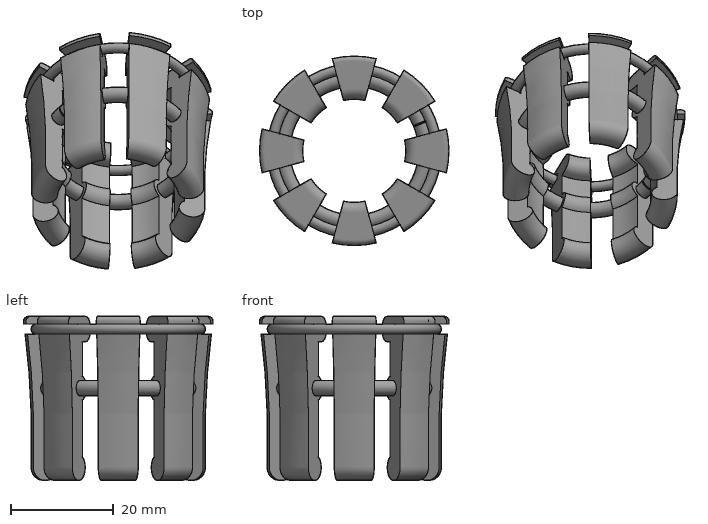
import cadquery as cq
import math

JAW_COUNT = 8
TOP_Z = 32.0

JAW_WEDGE_HALF_ANGLE = math.radians(15)
JAW_APEX_OFFSET = 1.95

WALL_INNER_RADIUS = 13.0
WALL_OUTER_RADIUS = 17.0
FLARE_START_Z = 13.05
FLARE_CONE_Z = 21.0
FLARE_ANGLE = math.radians(5.8)

FOOT_ROUND = 2.5

FLANGE_RADIUS = 18.48
FLANGE_THICKNESS = 1.5
FLANGE_ROUND = 1.0
LIP_RADIUS = 10.0
LIP_HEIGHT = 5.0
LIP_ROUND = 2.0

RETAINER_WIRE_RADIUS = 1.0
RETAINER_CENTER_RADIUS = 16.0

HOOP_CENTER_RADIUS = 14.0
HOOP_WIRE_RADIUS = 1.5
HOOP_Z = 18.0
RIB_RADIUS = 2.5
HOOP_SLIT_WIDTH = 0.22
HOOP_SLIT_ANGLE = 180 / JAW_COUNT

GROOVE_TOP_Z = TOP_Z - FLANGE_THICKNESS
RETAINER_Z = GROOVE_TOP_Z - RETAINER_WIRE_RADIUS
GROOVE_BOTTOM_Z = RETAINER_Z - RETAINER_WIRE_RADIUS
GROOVE_FLOOR_RADIUS = RETAINER_CENTER_RADIUS - RETAINER_WIRE_RADIUS
LIP_BOTTOM_Z = TOP_Z - LIP_HEIGHT

FOOT_CENTER_RADIUS = WALL_OUTER_RADIUS - FOOT_ROUND
FOOT_INNER_RADIUS = FOOT_CENTER_RADIUS - FOOT_ROUND
FOOT_BULGE_TOP_Z = FOOT_ROUND + math.sqrt(FOOT_ROUND**2 - (FOOT_CENTER_RADIUS - WALL_INNER_RADIUS) ** 2)

FLARE_BEND_RADIUS = (FLARE_CONE_Z - FLARE_START_Z) / math.sin(FLARE_ANGLE)
FLARE_CONE_RADIUS = WALL_OUTER_RADIUS + FLARE_BEND_RADIUS * (1 - math.cos(FLARE_ANGLE))
FLARE_TOP_RADIUS = FLARE_CONE_RADIUS + (GROOVE_BOTTOM_Z - FLARE_CONE_Z) * math.tan(FLARE_ANGLE)


def torus(center_radius, wire_radius, z):
    """Round-wire ring about the Z axis."""
    return (
        cq.Workplane("XZ")
        .center(center_radius, z)
        .circle(wire_radius)
        .revolve(360, (-center_radius, 0), (-center_radius, 1))
    )


def jaw_sleeve():
    """Revolved sleeve with the radial section of a jaw, not yet split into jaws."""
    section = (
        cq.Workplane("XZ")
        .moveTo(FOOT_CENTER_RADIUS, 0)
        .radiusArc((WALL_OUTER_RADIUS, FOOT_ROUND), -FOOT_ROUND)
        .lineTo(WALL_OUTER_RADIUS, FLARE_START_Z)
        .radiusArc((FLARE_CONE_RADIUS, FLARE_CONE_Z), FLARE_BEND_RADIUS)
        .lineTo(FLARE_TOP_RADIUS, GROOVE_BOTTOM_Z)
        .lineTo(GROOVE_FLOOR_RADIUS, GROOVE_BOTTOM_Z)
        .lineTo(GROOVE_FLOOR_RADIUS, GROOVE_TOP_Z)
        .lineTo(FLANGE_RADIUS, GROOVE_TOP_Z)
        .lineTo(FLANGE_RADIUS, TOP_Z - FLANGE_ROUND)
        .radiusArc((FLANGE_RADIUS - FLANGE_ROUND, TOP_Z), -FLANGE_ROUND)
        .lineTo(LIP_RADIUS + LIP_ROUND, TOP_Z)
        .radiusArc((LIP_RADIUS, TOP_Z - LIP_ROUND), -LIP_ROUND)
        .lineTo(LIP_RADIUS, LIP_BOTTOM_Z + LIP_ROUND)
        .radiusArc((LIP_RADIUS + LIP_ROUND, LIP_BOTTOM_Z), -LIP_ROUND)
        .lineTo(WALL_INNER_RADIUS, LIP_BOTTOM_Z)
        .lineTo(WALL_INNER_RADIUS, FOOT_BULGE_TOP_Z)
        .threePointArc((FOOT_INNER_RADIUS, FOOT_ROUND), (FOOT_CENTER_RADIUS, 0))
        .close()
    )
    return section.revolve(360, (0, 0), (0, 1))


def jaw_wedge(angle):
    """Wedge-shaped envelope of one jaw."""
    reach = 2 * FLANGE_RADIUS
    half_width = (reach - JAW_APEX_OFFSET) * math.tan(JAW_WEDGE_HALF_ANGLE)
    return (
        cq.Workplane("XY")
        .polyline([(JAW_APEX_OFFSET, 0), (reach, -half_width), (reach, half_width)])
        .close()
        .extrude(TOP_Z)
        .rotate((0, 0, 0), (0, 0, 1), angle)
    )


def slit_hoop():
    """Joining hoop, slit between two jaws."""
    slit = (
        cq.Workplane("XY")
        .box(FLANGE_RADIUS, HOOP_SLIT_WIDTH, TOP_Z, centered=(False, True, False))
        .rotate((0, 0, 0), (0, 0, 1), HOOP_SLIT_ANGLE)
    )
    return torus(HOOP_CENTER_RADIUS, HOOP_WIRE_RADIUS, HOOP_Z).cut(slit)


def cage():
    """Jaws held together by the hoop."""
    rib = torus(HOOP_CENTER_RADIUS, RIB_RADIUS, HOOP_Z)
    sleeve = jaw_sleeve().union(rib)
    body = slit_hoop()
    for index in range(JAW_COUNT):
        body = body.union(sleeve.intersect(jaw_wedge(index * 360 / JAW_COUNT)))
    return body


jaw_cage = cage()
retaining_ring = torus(RETAINER_CENTER_RADIUS, RETAINER_WIRE_RADIUS, RETAINER_Z)

result = cq.Compound.makeCompound([jaw_cage.val(), retaining_ring.val()])